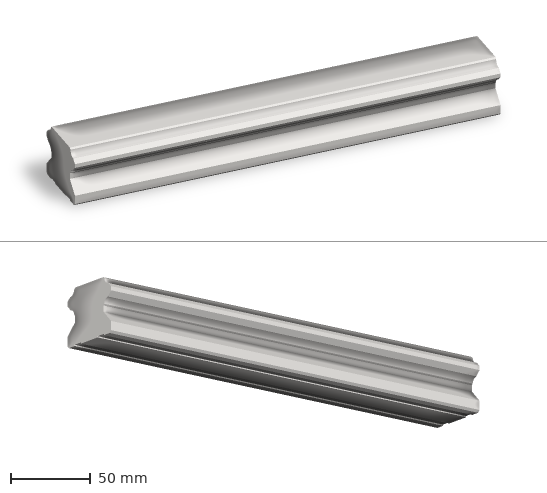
import cadquery as cq
import math

WIDTH = 45.0
HEIGHT = 38.0
LENGTH = 290.0
HALF_WIDTH = WIDTH / 2

TOP_HALF_WIDTH = 14.5
TOP_BEVEL = 1.0
NOSE_TOP_Z = 30.2
NOSE_BOTTOM_Z = 27.5
UPPER_RACEWAY_DEPTH = 2.7
LOWER_RACEWAY_DEPTH = 3.3

WAIST_HALF_WIDTH = 14.5
WAIST_TOP_Z = 19.5
WAIST_BEVEL = 0.9

RELIEF_RADIUS = 4.4

FOOT_SIDE_Z = 7.5
FOOT_CHAMFER = 1.5

GROOVE_INNER_X = 8.7
GROOVE_OUTER_X = 15.0
GROOVE_DEPTH = 0.8


def relief_midpoint(start, end):
    """Middle of the relief arc from start to end, which bows towards the rail's centre plane."""
    dx = end[0] - start[0]
    dz = end[1] - start[1]
    chord = math.hypot(dx, dz)
    sag = RELIEF_RADIUS - math.sqrt(RELIEF_RADIUS**2 - (chord / 2) ** 2)
    middle_x = (start[0] + end[0]) / 2
    middle_z = (start[1] + end[1]) / 2
    return (middle_x + sag * dz / chord, middle_z - sag * dx / chord)


def half_rail():
    """The +X half of the rail, extruded along Y and centred on the origin in Y."""
    upper_start = (TOP_HALF_WIDTH + TOP_BEVEL, HEIGHT - TOP_BEVEL)
    upper_end = (HALF_WIDTH - UPPER_RACEWAY_DEPTH, NOSE_TOP_Z + UPPER_RACEWAY_DEPTH)
    lower_start = (HALF_WIDTH - LOWER_RACEWAY_DEPTH, NOSE_BOTTOM_Z - LOWER_RACEWAY_DEPTH)
    lower_end = (WAIST_HALF_WIDTH + WAIST_BEVEL, WAIST_TOP_Z + WAIST_BEVEL)
    waist_bottom_z = FOOT_SIDE_Z + HALF_WIDTH - WAIST_HALF_WIDTH

    profile = (
        cq.Workplane("XZ", origin=(0, LENGTH / 2, 0))
        .moveTo(0, 0)
        .lineTo(0, HEIGHT)
        .lineTo(TOP_HALF_WIDTH, HEIGHT)
        .lineTo(*upper_start)
        .threePointArc(relief_midpoint(upper_start, upper_end), upper_end)
        .lineTo(HALF_WIDTH, NOSE_TOP_Z)
        .lineTo(HALF_WIDTH, NOSE_BOTTOM_Z)
        .lineTo(*lower_start)
        .threePointArc(relief_midpoint(lower_start, lower_end), lower_end)
        .lineTo(WAIST_HALF_WIDTH, WAIST_TOP_Z)
        .lineTo(WAIST_HALF_WIDTH, waist_bottom_z)
        .lineTo(HALF_WIDTH, FOOT_SIDE_Z)
        .lineTo(HALF_WIDTH, FOOT_CHAMFER)
        .lineTo(HALF_WIDTH - FOOT_CHAMFER, 0)
        .lineTo(GROOVE_OUTER_X, 0)
        .lineTo(GROOVE_OUTER_X, GROOVE_DEPTH)
        .lineTo(GROOVE_INNER_X, GROOVE_DEPTH)
        .lineTo(GROOVE_INNER_X, 0)
        .close()
    )
    return profile.extrude(LENGTH)


right_half = half_rail()
left_half = right_half.mirror("YZ")
result = right_half.union(left_half).clean()